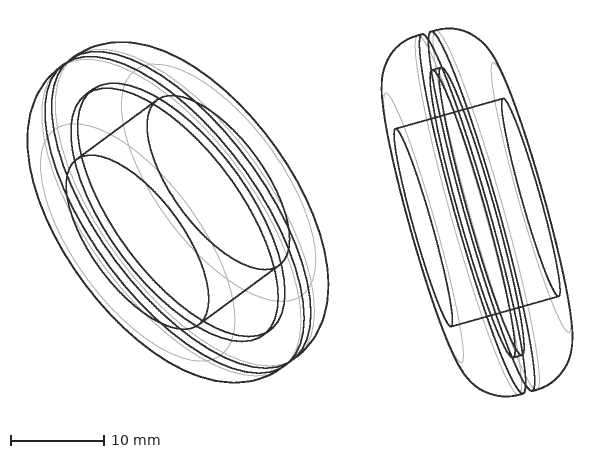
import cadquery as cq

outer_diameter = 40.0
bore_diameter = 22.0
groove_diameter = 32.0
thickness = 12.0
groove_width = 1.0
edge_radius = 5.0


def disc(diameter, width):
    """Disc around the Y axis, centred on the origin."""
    return (
        cq.Workplane("XZ", origin=(0, width / 2, 0))
        .circle(diameter / 2)
        .extrude(width)
    )


def rounded_ring():
    """Full-width ring with both outer rims rounded."""
    blank = disc(outer_diameter, thickness).faces("<Y or >Y").edges().fillet(edge_radius)
    return blank.cut(disc(bore_diameter, thickness))


def panel_groove():
    """Material removed around the middle of the rim to grip a panel edge."""
    return disc(outer_diameter, groove_width).cut(disc(groove_diameter, groove_width))


result = rounded_ring().cut(panel_groove())